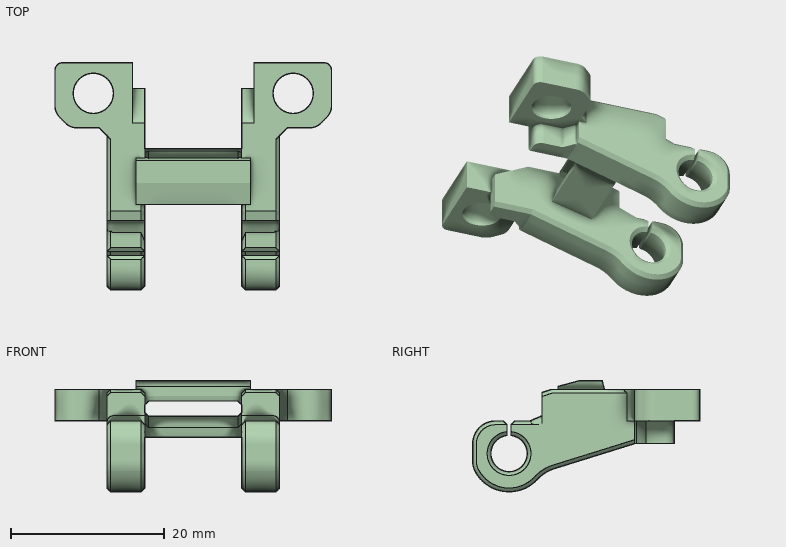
import cadquery as cq
import math


arm_top_z = 8.35
back_y = 24.84
edge_chamfer = 0.5

arm_inner_x = 6.3
arm_outer_x = 11.25
arm_width = arm_outer_x - arm_inner_x
arm_front_y = 4.27
nose_y = 5.5
nose_drop = 0.4
belly_z = 1.27
belly_angle = 17.3
belly_fillet = 5.0
block_root_z = 3.0
inner_chamfer_end_y = 8.0

barrel_radius = 5.0
barrel_front_y = -4.75
barrel_top_z = 4.25
barrel_upper_fillet = 3.0
barrel_lower_fillet = 2.8
bore_diameter = 4.7
slot_width = 0.5

ramp_rise = 0.67
ramp_length = 1.56
ramp_fillet = 0.9

tab_outer_x = 18.0
tab_inner_x = 7.9
tab_depth = 8.5
tab_thickness = 4.1
tab_front_y = back_y - tab_depth
tab_bottom_z = arm_top_z - tab_thickness
tab_hole_diameter = 5.2
tab_hole_x = 13.0
tab_hole_setback = 4.0
tab_hole_y = back_y - tab_hole_setback
tab_back_fillet = 1.0
tab_front_chamfer = 2.0
tab_front_fillet = 2.0
tab_gusset = 1.0

flare_inset = 1.0
flare_outer_x = arm_outer_x - flare_inset
flare_width = 1.23
flare_y = 16.57
lug_outer_x = flare_outer_x - flare_width
lug_back_y = 21.5
lug_fillet = 1.1
lug_slope_y = 16.95
lug_slope_angle = 27.0

bar_tilt = math.radians(15.0)
upper_bar_half_width = 7.45
upper_bar_thickness = 1.92
upper_bar_length = 6.1
upper_bar_corner = (6.53, 6.8)
upper_bar_front_y = 6.36
upper_bar_top_z = 9.48
lower_bar_thickness = 1.3
lower_bar_length = 5.75
lower_bar_corner = (7.75, 3.37)


def prism(points, x_from, x_to):
    """Extrude a polygon of (Y, Z) points from x_from to x_to."""
    return cq.Workplane("YZ", origin=(x_from, 0, 0)).polyline(points).close().extrude(x_to - x_from)


def plate(points, z_from, z_to):
    """Extrude a polygon of (X, Y) points from z_from to z_to."""
    return cq.Workplane("XY", origin=(0, 0, z_from)).polyline(points).close().extrude(z_to - z_from)


def beam():
    """Lower arm: sloping underside running into the clamp barrel, side edges chamfered."""
    tilt = math.radians(belly_angle)

    underside_depth = (tab_front_y * math.tan(tilt) - belly_z) * math.cos(tilt)
    across = underside_depth + belly_fillet
    along = math.sqrt((barrel_radius + belly_fillet) ** 2 - across ** 2)
    fillet_y = along * math.cos(tilt) + across * math.sin(tilt)
    fillet_z = along * math.sin(tilt) - across * math.cos(tilt)
    belly_end = (fillet_y - belly_fillet * math.sin(tilt), fillet_z + belly_fillet * math.cos(tilt))
    to_barrel = barrel_radius / (barrel_radius + belly_fillet)
    barrel_start = (fillet_y * to_barrel, fillet_z * to_barrel)

    front_fillet_y = barrel_front_y + barrel_lower_fillet
    front_fillet_reach = barrel_radius - barrel_lower_fillet
    front_fillet_z = -math.sqrt(front_fillet_reach ** 2 - front_fillet_y ** 2)
    to_front = barrel_radius / front_fillet_reach
    barrel_end = (front_fillet_y * to_front, front_fillet_z * to_front)

    solid = (
        cq.Workplane("YZ", origin=(-arm_outer_x, 0, 0))
        .moveTo(tab_front_y, barrel_top_z)
        .lineTo(tab_front_y, belly_z)
        .lineTo(*belly_end)
        .tangentArcPoint(barrel_start, relative=False)
        .tangentArcPoint(barrel_end, relative=False)
        .tangentArcPoint((barrel_front_y, front_fillet_z), relative=False)
        .lineTo(barrel_front_y, barrel_top_z - barrel_upper_fillet)
        .tangentArcPoint((barrel_front_y + barrel_upper_fillet, barrel_top_z), relative=False)
        .close()
        .extrude(arm_width)
    )
    side_edges = cq.selectors.StringSyntaxSelector("#X") - cq.selectors.StringSyntaxSelector(">Y")
    return solid.faces("<X or >X").edges(side_edges).chamfer(edge_chamfer)


def bore():
    """Clamp bore, countersunk on both sides."""
    bore_radius = bore_diameter / 2
    mouth_radius = bore_radius + edge_chamfer
    half_section = [
        (-arm_outer_x, 0),
        (-arm_outer_x, mouth_radius),
        (-arm_outer_x + edge_chamfer, bore_radius),
        (-arm_inner_x - edge_chamfer, bore_radius),
        (-arm_inner_x, mouth_radius),
        (-arm_inner_x, 0),
    ]
    return cq.Workplane("XY").polyline(half_section).close().revolve(360, (0, 0, 0), (1, 0, 0))


def clamp_slot():
    """Slot that opens the barrel at the top, with chamfered lips."""
    half_slot = slot_width / 2
    half_mouth = half_slot + edge_chamfer
    lip_z = barrel_top_z - edge_chamfer
    section = [
        (-half_slot, 0),
        (half_slot, 0),
        (half_slot, lip_z),
        (half_mouth, barrel_top_z),
        (-half_mouth, barrel_top_z),
        (-half_slot, lip_z),
    ]
    return prism(section, -arm_outer_x, -arm_inner_x)


def upper_block():
    """Upright block of the arm, its top chamfered outside, and inside only ahead of the cross bar."""
    nose_z = arm_top_z - nose_drop
    nose_profile = [
        (arm_front_y, block_root_z),
        (arm_front_y, nose_z),
        (nose_y, arm_top_z),
        (inner_chamfer_end_y, arm_top_z),
        (inner_chamfer_end_y, block_root_z),
    ]
    nose = prism(nose_profile, -arm_outer_x, -arm_inner_x)
    upright_or_bottom = cq.selectors.StringSyntaxSelector("|Z or <Z")
    top_edges = cq.selectors.StringSyntaxSelector("#X") - upright_or_bottom
    nose = nose.faces("<X or >X").edges(top_edges).chamfer(edge_chamfer)

    rear_profile = [
        (inner_chamfer_end_y, block_root_z),
        (inner_chamfer_end_y, arm_top_z),
        (tab_front_y, arm_top_z),
        (tab_front_y, block_root_z),
    ]
    rear = prism(rear_profile, -arm_outer_x, -arm_inner_x)
    rear = rear.edges("<X and >Z").chamfer(edge_chamfer)
    return nose.union(rear)


def ramp():
    """Wedge from the arm front face down to the barrel top, rounded along its outer edge."""
    slope = ramp_rise / ramp_length
    toe_z = barrel_top_z - edge_chamfer
    toe_y = arm_front_y - ramp_length - edge_chamfer / slope
    buried_y = arm_front_y + ramp_length
    profile = [
        (buried_y, barrel_top_z + 2 * ramp_rise),
        (toe_y, toe_z),
        (toe_y, block_root_z),
        (buried_y, block_root_z),
    ]
    wedge = prism(profile, -arm_outer_x, -arm_inner_x)
    return wedge.faces("<X").edges("not(|Y or |Z)").fillet(ramp_fillet)


def tab():
    """Mounting tab, blended into the arm by a 45 degree gusset."""
    gusset_end_y = tab_front_y - tab_gusset - edge_chamfer
    outline = [
        (-tab_inner_x, back_y),
        (-tab_outer_x, back_y),
        (-tab_outer_x, tab_front_y + tab_front_chamfer),
        (-tab_outer_x + tab_front_chamfer, tab_front_y),
        (-arm_outer_x - tab_gusset, tab_front_y),
        (-arm_outer_x + edge_chamfer, gusset_end_y),
        (-tab_inner_x, gusset_end_y),
    ]
    solid = plate(outline, tab_bottom_z, arm_top_z)
    solid = solid.faces("<X").edges(">Y").fillet(tab_back_fillet)
    for x, y in outline[2:4]:
        corner = cq.selectors.NearestToPointSelector((x, y, (tab_bottom_z + arm_top_z) / 2))
        solid = solid.edges("|Z").edges(corner).fillet(tab_front_fillet)
    return solid


def tab_hole():
    hole = cq.Workplane("XY", origin=(0, 0, tab_bottom_z)).center(-tab_hole_x, tab_hole_y)
    return hole.circle(tab_hole_diameter / 2).extrude(arm_top_z - tab_bottom_z)


def lug():
    """Continuation of the arm below and beside the tab, flared out towards the arm's outer side."""
    slope_drop = (lug_back_y - lug_slope_y) * math.tan(math.radians(lug_slope_angle))
    profile = [
        (tab_front_y, belly_z),
        (lug_back_y, belly_z),
        (lug_back_y, arm_top_z - slope_drop),
        (lug_slope_y, arm_top_z),
        (tab_front_y, arm_top_z),
    ]
    solid = prism(profile, -lug_outer_x, -arm_inner_x)
    solid = solid.faces("<X").edges(">Y").fillet(lug_fillet)

    flare_end_y = flare_y + flare_width
    flare_outline = [
        (-flare_outer_x, tab_front_y),
        (-flare_outer_x, flare_y),
        (-lug_outer_x, flare_end_y),
        (-arm_inner_x, flare_end_y),
        (-arm_inner_x, tab_front_y),
    ]
    solid = solid.union(plate(flare_outline, belly_z, tab_bottom_z))
    return solid.edges("|Y and <Z and >X").chamfer(edge_chamfer)


def tilted_plate(section, front_corner, length):
    """Extrude an (X, height) section backwards from front_corner, rising at the bar tilt."""
    corner_y, corner_z = front_corner
    run = length * math.cos(bar_tilt)
    rise = length * math.sin(bar_tilt)
    plane = cq.Plane(
        origin=(0, corner_y + run, corner_z + rise),
        xDir=(1, 0, 0),
        normal=(0, -math.cos(bar_tilt), -math.sin(bar_tilt)),
    )
    return cq.Workplane(plane).polyline(section).close().extrude(length)


def upper_bar():
    """Upper plate with chamfered slot corners below, cut flat on top and upright in front."""
    section = [
        (-upper_bar_half_width, upper_bar_thickness),
        (-upper_bar_half_width, -edge_chamfer),
        (-arm_inner_x, -edge_chamfer),
        (-arm_inner_x + edge_chamfer, 0),
        (arm_inner_x - edge_chamfer, 0),
        (arm_inner_x, -edge_chamfer),
        (upper_bar_half_width, -edge_chamfer),
        (upper_bar_half_width, upper_bar_thickness),
    ]
    bar = tilted_plate(section, upper_bar_corner, upper_bar_length)
    envelope_profile = [
        (upper_bar_front_y, 0),
        (back_y, 0),
        (back_y, upper_bar_top_z),
        (upper_bar_front_y, upper_bar_top_z),
    ]
    return bar.intersect(prism(envelope_profile, -upper_bar_half_width, upper_bar_half_width))


def lower_bar():
    """Lower plate with chamfered slot corners above."""
    section = [
        (-arm_inner_x, -lower_bar_thickness),
        (-arm_inner_x, edge_chamfer),
        (-arm_inner_x + edge_chamfer, 0),
        (arm_inner_x - edge_chamfer, 0),
        (arm_inner_x, edge_chamfer),
        (arm_inner_x, -lower_bar_thickness),
    ]
    return tilted_plate(section, lower_bar_corner, lower_bar_length)


def left_arm():
    arm = beam().cut(clamp_slot()).cut(bore())
    for piece in (upper_block(), ramp(), tab(), lug()):
        arm = arm.union(piece)
    return arm.cut(tab_hole())


left = left_arm()
right = left.mirror("YZ")
result = left.union(right).union(upper_bar()).union(lower_bar()).clean()